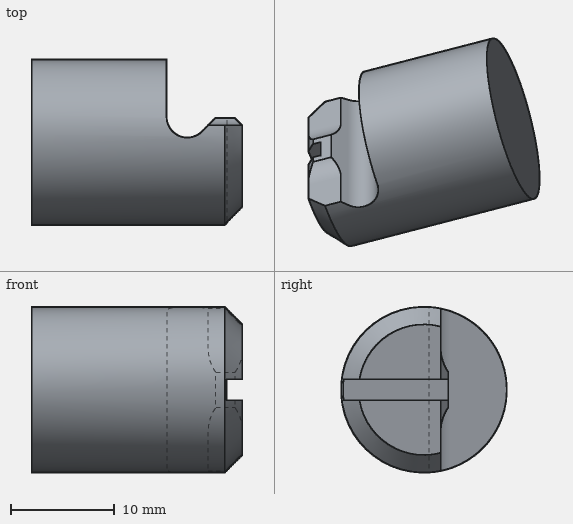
import cadquery as cq
import math

length = 20.3
diameter = 16.0
radius = diameter / 2
end_chamfer = 1.7

notch_wall_x = 13.01
notch_radius = 1.99
notch_floor_y = 0.47
nose_top_y = 2.35
nose_shoulder_y = 1.62

flank_radius = 4.0

slot_width = 1.99
slot_depth = 1.5


def make_body():
    body = cq.Workplane("YZ").circle(radius).extrude(length)
    return body.faces(">X").chamfer(end_chamfer)


def make_notch():
    """Rounded notch with a 45 degree ramp up to the bevelled nose, cut through along Z."""
    center_x = notch_wall_x + notch_radius
    center_y = notch_floor_y + notch_radius
    diagonal = notch_radius * math.sqrt(0.5)
    ramp_x = center_x + diagonal
    ramp_y = center_y - diagonal
    nose_start_x = ramp_x + nose_top_y - ramp_y
    nose_bevel = nose_top_y - nose_shoulder_y
    return (
        cq.Workplane("XY")
        .moveTo(notch_wall_x, radius)
        .lineTo(notch_wall_x, center_y)
        .threePointArc((center_x, notch_floor_y), (ramp_x, ramp_y))
        .lineTo(nose_start_x, nose_top_y)
        .lineTo(length - nose_bevel, nose_top_y)
        .lineTo(length, nose_shoulder_y)
        .lineTo(length, radius)
        .close()
        .extrude(radius, both=True)
    )


def make_flank():
    """Cutter for the +Z flank: a flat shoulder that curves up to the nose top."""
    start_x = notch_wall_x + notch_radius
    center_y = nose_shoulder_y + flank_radius
    center_z = flank_radius

    def flank_point(angle):
        return (
            center_y - flank_radius * math.cos(angle),
            center_z - flank_radius * math.sin(angle),
        )

    top_angle = math.acos((center_y - nose_top_y) / flank_radius)
    ridge_edge = flank_point(top_angle)
    return (
        cq.Workplane("YZ", origin=(start_x, 0, 0))
        .moveTo(nose_shoulder_y, radius)
        .lineTo(nose_shoulder_y, center_z)
        .threePointArc(flank_point(top_angle / 2), ridge_edge)
        .lineTo(nose_top_y, radius)
        .close()
        .extrude(length - start_x)
    )


def make_driver_slot():
    slot = cq.Workplane("XY").box(slot_depth, diameter, slot_width)
    return slot.translate((length - slot_depth / 2, 0, 0))


flank = make_flank()
result = make_body().cut(make_notch())
result = result.cut(flank).cut(flank.mirror("XY"))
result = result.cut(make_driver_slot())